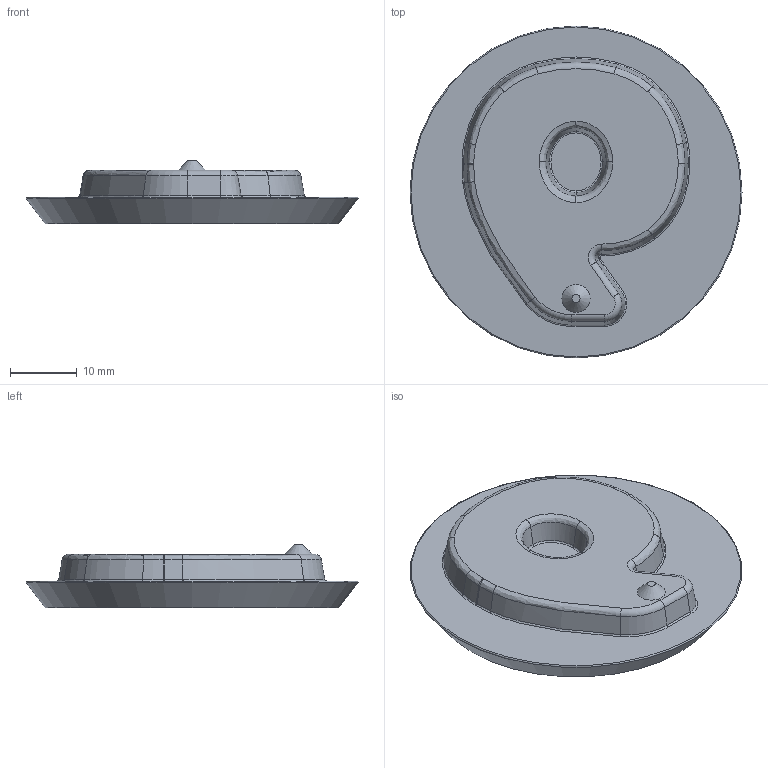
import cadquery as cq
import math

BASE_BOTTOM_RADIUS = 22.0
BASE_TOP_RADIUS = 25.0
BASE_HEIGHT = 4.0
RIM_FILLET = 0.15

BODY_HEIGHT = 4.0
BODY_DRAFT = 10.0
TOP_FILLET = 1.0
FOOT_FILLET = 0.25

CROWN_RADIUS = 22.7
CROWN_TOP_Y = 20.0
CROWN_HALF_WIDTH = 6.1
BODY_HALF_WIDTH = 16.85
WIDEST_Y = 4.3

SHOULDER_CROWN_PULL = 9.0
SHOULDER_SIDE_PULL = 4.5
BELLY_SIDE_PULL = 7.8
BELLY_NOTCH_PULL = 7.8
FLANK_SIDE_PULL = 3.0
FLANK_HEEL_PULL = 15.5

TAIL_BOTTOM_Y = -19.92
TAIL_TIP_RADIUS = 3.2
TAIL_TIP_X = 4.2
TAIL_HEEL_RADIUS = 8.66
TAIL_HEEL_X = -0.6
TAIL_HEEL_ANGLE = 51.0
TAIL_EDGE_ANGLE = 54.7
TAIL_EDGE_LENGTH = 5.8
NOTCH_RADIUS = 0.5

OPENING_HALF_WIDTH = 3.96
OPENING_HALF_LENGTH = 4.55
OPENING_Y = 4.5

PIP_Y = -15.95
PIP_HEIGHT = 1.5
PIP_BASE_RADIUS = 2.1
PIP_TIP_RADIUS = 0.6

SELECTION_MARGIN = 0.01

BODY_TOP = BASE_HEIGHT + BODY_HEIGHT


def on_circle(center, radius, degrees):
    """Point on a circle at an angle measured from +X."""
    angle = math.radians(degrees)
    return (center[0] + radius * math.cos(angle), center[1] + radius * math.sin(angle))


def frustum(bottom_radius, top_radius, height, x, y, z):
    """Cone cut off flat at both ends, standing along Z."""
    cone = cq.Solid.makeCone(bottom_radius, top_radius, height, cq.Vector(x, y, z))
    return cq.Workplane(obj=cone)


def make_base():
    plate = frustum(BASE_BOTTOM_RADIUS, BASE_TOP_RADIUS, BASE_HEIGHT, 0, 0, 0)
    return plate.faces(">Z").edges().fillet(RIM_FILLET)


def body_outline():
    """Closed outline of the body at plate level, drawn clockwise from the left of the crown."""
    crown_center = (0, CROWN_TOP_Y - CROWN_RADIUS)
    crown_slope = math.degrees(math.asin(CROWN_HALF_WIDTH / CROWN_RADIUS))
    crown_left = on_circle(crown_center, CROWN_RADIUS, 90 + crown_slope)
    crown_right = on_circle(crown_center, CROWN_RADIUS, 90 - crown_slope)

    edge_normal = 90 - TAIL_EDGE_ANGLE
    tip_center = (TAIL_TIP_X, TAIL_BOTTOM_Y + TAIL_TIP_RADIUS)
    tip_start = on_circle(tip_center, TAIL_TIP_RADIUS, edge_normal)
    tip_middle = on_circle(tip_center, TAIL_TIP_RADIUS, (edge_normal - 90) / 2)
    tip_end = (TAIL_TIP_X, TAIL_BOTTOM_Y)
    notch_end = on_circle(tip_start, TAIL_EDGE_LENGTH, edge_normal + 90)
    notch_center = on_circle(notch_end, NOTCH_RADIUS, edge_normal)
    notch_start = on_circle(notch_center, NOTCH_RADIUS, 90)
    notch_middle = on_circle(notch_center, NOTCH_RADIUS, (90 + edge_normal + 180) / 2)

    heel_center = (TAIL_HEEL_X, TAIL_BOTTOM_Y + TAIL_HEEL_RADIUS)
    heel_start = (TAIL_HEEL_X, TAIL_BOTTOM_Y)
    heel_middle = on_circle(heel_center, TAIL_HEEL_RADIUS, -90 - TAIL_HEEL_ANGLE / 2)
    heel_end = on_circle(heel_center, TAIL_HEEL_RADIUS, -90 - TAIL_HEEL_ANGLE)

    widest_left = (-BODY_HALF_WIDTH, WIDEST_Y)
    widest_right = (BODY_HALF_WIDTH, WIDEST_Y)
    right_shoulder = [
        crown_right,
        on_circle(crown_right, SHOULDER_CROWN_PULL, -crown_slope),
        on_circle(widest_right, SHOULDER_SIDE_PULL, 90),
        widest_right,
    ]
    right_belly = [
        widest_right,
        on_circle(widest_right, BELLY_SIDE_PULL, -90),
        on_circle(notch_start, BELLY_NOTCH_PULL, 0),
        notch_start,
    ]
    left_flank = [
        heel_end,
        on_circle(heel_end, FLANK_HEEL_PULL, 180 - TAIL_HEEL_ANGLE),
        on_circle(widest_left, FLANK_SIDE_PULL, -90),
        widest_left,
    ]
    left_shoulder = [
        widest_left,
        on_circle(widest_left, SHOULDER_SIDE_PULL, 90),
        on_circle(crown_left, SHOULDER_CROWN_PULL, 180 + crown_slope),
        crown_left,
    ]

    return (
        cq.Workplane("XY", origin=(0, 0, BASE_HEIGHT))
        .moveTo(*crown_left)
        .threePointArc((0, CROWN_TOP_Y), crown_right)
        .bezier(right_shoulder)
        .bezier(right_belly)
        .threePointArc(notch_middle, notch_end)
        .lineTo(*tip_start)
        .threePointArc(tip_middle, tip_end)
        .lineTo(*heel_start)
        .threePointArc(heel_middle, heel_end)
        .bezier(left_flank)
        .bezier(left_shoulder)
        .close()
    )


def make_body():
    """Drafted body with the oval opening, rounded along its top edges."""
    body = body_outline().extrude(BODY_HEIGHT, taper=BODY_DRAFT)
    opening = (
        cq.Workplane("XY", origin=(0, OPENING_Y, BASE_HEIGHT))
        .ellipse(OPENING_HALF_WIDTH, OPENING_HALF_LENGTH)
        .extrude(BODY_HEIGHT, taper=-BODY_DRAFT)
    )
    return body.cut(opening).faces(">Z").edges().fillet(TOP_FILLET)


def make_pip():
    return frustum(PIP_BASE_RADIUS, PIP_TIP_RADIUS, PIP_HEIGHT, 0, PIP_Y, BODY_TOP)


def fillet_foot(part):
    """Fillet where the body walls and the opening meet the plate, leaving the plate rim alone."""
    inside = cq.selectors.BoxSelector(
        (-BASE_BOTTOM_RADIUS, -BASE_BOTTOM_RADIUS, BASE_HEIGHT - SELECTION_MARGIN),
        (BASE_BOTTOM_RADIUS, BASE_BOTTOM_RADIUS, BASE_HEIGHT + SELECTION_MARGIN),
        boundingbox=True,
    )
    return part.edges(inside).fillet(FOOT_FILLET)


result = make_base().union(make_body())
result = fillet_foot(result)
result = result.union(make_pip())